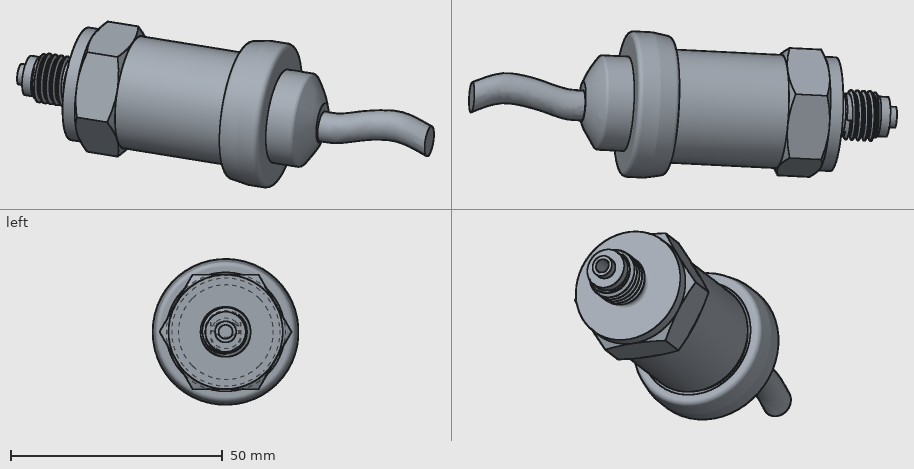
import cadquery as cq
import math


TIP_DIAMETER = 5.0
STUD_DIAMETER = 9.5
STUD_START = 2.0
BORE_DIAMETER = 3.3
BORE_DEPTH = 10.0
FLANGE_DIAMETER = 27.0
FLANGE_START = 14.95
FLANGE_FILLET = 0.9
HEX_START = 18.0
HEX_END = 28.0
HEX_ACROSS_FLATS = 27.0
HEX_CHAMFER_ANGLE = math.radians(30)
BODY_DIAMETER = 26.85
BODY_END = 54.4
SPIGOT_DIAMETER = 25.53
SPIGOT_END = 62.5

THREAD_PITCH = 1.5
THREAD_CREST_DIAMETER = 11.85
THREAD_ROOT_DIAMETER = 10.14
THREAD_CREST_WIDTH = THREAD_PITCH / 8
THREAD_HALF_ANGLE = math.radians(30)
THREAD_EMBED = 0.1
THREAD_START = 4.2
THREAD_END = 12.7

RING_START = 54.65
RING_END = 64.75
RING_DIAMETER = 34.5
TAPER_END = 59.5
TAPER_ANGLE = math.radians(10)
RING_FRONT_FILLET = 1.2
RING_REAR_FILLET = 1.2
RING_BORE_CHAMFER = 1.3

GLAND_DIAMETER = 22.4
GLAND_SHOULDER = 71.2
GLAND_END = 75.15
GLAND_TIP_DIAMETER = 9.5
DOME_BULGE = 0.28
GLAND_FILLET = 0.8

CABLE_DIAMETER = 7.2
CABLE_END = 101.73
CABLE_START_Z = -0.95
CABLE_BEND = (78.2, -0.9)
CABLE_RISE = (83.9, 0.61)
CABLE_CREST = (92.4, 2.35)
CABLE_END_Z = -0.3
CABLE_END_SLOPE = -0.45


def cylinder(diameter, start, end):
    """Cylinder on the X axis between two X positions."""
    return cq.Workplane("YZ", origin=(start, 0, 0)).circle(diameter / 2).extrude(end - start)


def spin(profile):
    """Revolve a closed XY profile of (X, radius) points about the X axis."""
    return profile.close().revolve(360, (0, 0, 0), (1, 0, 0))


def threaded_length():
    """Root cylinder with a right-handed ridge, both ends run out on 45 degree cones."""
    crest_radius = THREAD_CREST_DIAMETER / 2
    base_radius = THREAD_ROOT_DIAMETER / 2 - THREAD_EMBED
    crest_half = THREAD_CREST_WIDTH / 2
    base_half = crest_half + (crest_radius - base_radius) * math.tan(THREAD_HALF_ANGLE)
    length = THREAD_END - THREAD_START - THREAD_PITCH / 2
    helix = cq.Wire.makeHelix(THREAD_PITCH, length, base_radius)
    ridge = (
        cq.Workplane("XZ")
        .polyline([
            (base_radius, -base_half),
            (crest_radius, -crest_half),
            (crest_radius, crest_half),
            (base_radius, base_half),
        ])
        .close()
        .sweep(cq.Workplane(helix), isFrenet=True)
        .rotate((0, 0, 0), (0, 1, 0), 90)
        .translate((THREAD_START, 0, 0))
    )
    stud_radius = STUD_DIAMETER / 2
    runout = crest_radius - stud_radius
    envelope = spin(
        cq.Workplane("XY").polyline([
            (THREAD_START, 0),
            (THREAD_START, stud_radius),
            (THREAD_START + runout, crest_radius),
            (THREAD_END - runout, crest_radius),
            (THREAD_END, stud_radius),
            (THREAD_END, 0),
        ])
    )
    root = cylinder(THREAD_ROOT_DIAMETER, THREAD_START, THREAD_END)
    return root.union(ridge).intersect(envelope)


def hexagon():
    """Spanner hexagon with flats facing up and down and both ends chamfered."""
    corner_radius = HEX_ACROSS_FLATS / 2 / math.cos(math.pi / 6)
    prism = (
        cq.Workplane("YZ", origin=(HEX_START, 0, 0))
        .polygon(6, 2 * corner_radius)
        .extrude(HEX_END - HEX_START)
    )
    face_radius = FLANGE_DIAMETER / 2
    chamfer_length = (corner_radius - face_radius) * math.tan(HEX_CHAMFER_ANGLE)
    envelope = spin(
        cq.Workplane("XY").polyline([
            (HEX_START, 0),
            (HEX_START, face_radius),
            (HEX_START + chamfer_length, corner_radius),
            (HEX_END - chamfer_length, corner_radius),
            (HEX_END, face_radius),
            (HEX_END, 0),
        ])
    )
    return prism.intersect(envelope)


def make_housing():
    """Stud, flange, hexagon, sleeve and the spigot that carries the ring."""
    stud_radius = STUD_DIAMETER / 2
    stud = spin(
        cq.Workplane("XY")
        .moveTo(0, 0)
        .lineTo(0, TIP_DIAMETER / 2)
        .lineTo(STUD_START, TIP_DIAMETER / 2)
        .lineTo(STUD_START, stud_radius)
        .lineTo(FLANGE_START - FLANGE_FILLET, stud_radius)
        .radiusArc((FLANGE_START, stud_radius + FLANGE_FILLET), -FLANGE_FILLET)
        .lineTo(FLANGE_START, 0)
    )
    return (
        cylinder(FLANGE_DIAMETER, FLANGE_START, HEX_START)
        .union(hexagon())
        .union(cylinder(BODY_DIAMETER, HEX_END, BODY_END))
        .union(cylinder(SPIGOT_DIAMETER, BODY_END, SPIGOT_END))
        .union(stud)
        .union(threaded_length())
        .cut(cylinder(BORE_DIAMETER, 0, BORE_DEPTH))
    )


def make_ring():
    """Ring, tapered at the front, that slides over the spigot and closes round the gland."""
    radius = RING_DIAMETER / 2
    front_radius = radius - (TAPER_END - RING_START) * math.tan(TAPER_ANGLE)
    blank = spin(
        cq.Workplane("XY")
        .moveTo(RING_START, 0)
        .lineTo(RING_START, front_radius)
        .lineTo(TAPER_END, radius)
        .lineTo(RING_END, radius)
        .lineTo(RING_END, 0)
    )
    ring = blank.faces("<X").edges().fillet(RING_FRONT_FILLET)
    ring = ring.faces(">X").edges().fillet(RING_REAR_FILLET)
    ring = ring.cut(cylinder(SPIGOT_DIAMETER, RING_START, SPIGOT_END))
    ring = ring.cut(cylinder(GLAND_DIAMETER, SPIGOT_END, RING_END))
    bore_radius = SPIGOT_DIAMETER / 2
    lead_in = spin(
        cq.Workplane("XY").polyline([
            (RING_START, 0),
            (RING_START, bore_radius + RING_BORE_CHAMFER),
            (RING_START + RING_BORE_CHAMFER, bore_radius),
            (RING_START + RING_BORE_CHAMFER, 0),
        ])
    )
    return ring.cut(lead_in)


def make_gland():
    """Plain cylinder ending in a shallow dome with a flat tip."""
    radius = GLAND_DIAMETER / 2
    tip_radius = GLAND_TIP_DIAMETER / 2
    dome_run = GLAND_END - GLAND_SHOULDER
    dome_drop = radius - tip_radius
    slant = math.hypot(dome_run, dome_drop)
    dome_middle = (
        (GLAND_SHOULDER + GLAND_END) / 2 + DOME_BULGE * dome_drop / slant,
        (radius + tip_radius) / 2 + DOME_BULGE * dome_run / slant,
    )
    gland = spin(
        cq.Workplane("XY")
        .moveTo(SPIGOT_END, 0)
        .lineTo(SPIGOT_END, radius)
        .lineTo(GLAND_SHOULDER, radius)
        .threePointArc(dome_middle, (GLAND_END, tip_radius))
        .lineTo(GLAND_END, 0)
    )
    return gland.faces("%CYLINDER").edges(">X").fillet(GLAND_FILLET)


def make_cable():
    """Cable that rises then droops, its section round and square to X all along."""
    path = (
        cq.Workplane("XZ")
        .moveTo(GLAND_END, CABLE_START_Z)
        .spline(
            [CABLE_BEND, CABLE_RISE, CABLE_CREST, (CABLE_END, CABLE_END_Z)],
            tangents=[(1, 0), (1, CABLE_END_SLOPE)],
            includeCurrent=True,
        )
    )
    return (
        cq.Workplane("YZ", origin=(GLAND_END, 0, CABLE_START_Z))
        .circle(CABLE_DIAMETER / 2)
        .sweep(path, normal=(1, 0, 0))
    )


housing = make_housing()
ring = make_ring()
gland = make_gland()
cable = make_cable()

result = cq.Compound.makeCompound([housing.val(), ring.val(), gland.val(), cable.val()])